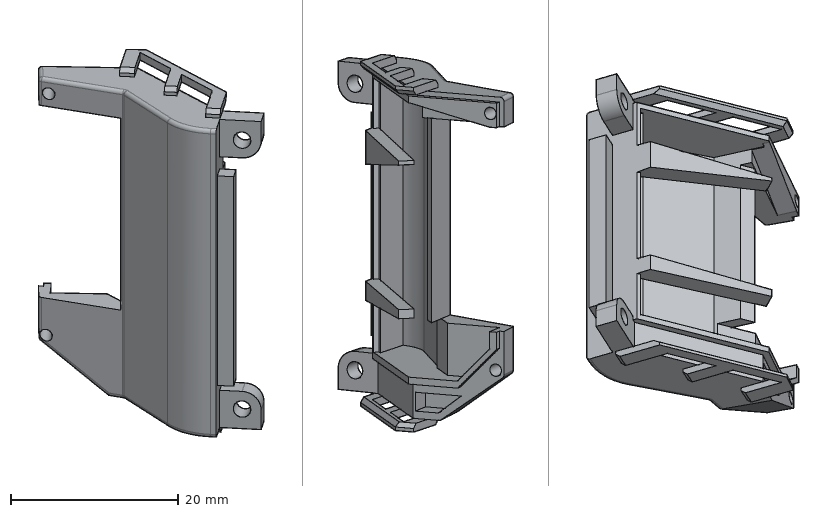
import cadquery as cq
import math

HALF_HEIGHT = 20.0
FRAME_THICKNESS = 1.0

END_ANGLE = 20.0
WING_BACK_ANGLE = 25.0
LONG_BACK_ANGLE = -26.2
FRONT_ANGLE = -31.2

WING_TIP = (-15.775, 0.0)
WING_TIP_FRONT = (-14.1, -3.06)
INNER_CORNER = (-3.2, -2.1)
BACK_EDGE_LENGTH = 11.9
FRONT_LOW_Y = -8.4
NOSE_RADIUS = 7.1
END_WALL = 8.85

EDGE_FILLET = 0.5
TIP_CORNER_FILLET = 0.45
CONCAVE_FILLET = 0.3

GAP_BOTTOM, GAP_TOP = -8.5, 16.4
GAP_WALL_FOOT = (-3.58, -2.1)
TIP_CUT_START = -14.05
TIP_CUT_RUN = 8.35

WALL = 1.2
CAVITY_BOTTOM, CAVITY_TOP = -14.85, 18.55
GAP_RECESS_DEPTH = 1.57
WING_RECESS_DEPTH = 2.1
WALL_CORNER_DEPTH = 2.3
LOWER_VERTEX_DEPTH = 4.1

LIP_TOP = 19.4
LIP_BOTTOM = -15.7
WING_LIP_HEIGHT = 0.85
LONG_LIP_HEIGHT = 0.7
LIP_END = 0.6
RIM_WIDTH = 1.5

PIN_DIAMETER = 1.5
UPPER_PIN = (-12.85, -2.95, 18.1)
LOWER_PIN = (-13.2, -2.95, -13.3)

EAR_REACH = 13.85
EAR_BACK, EAR_FRONT = -5.39, -8.07
EAR_HOLE_DIAMETER = 2.1
EAR_HOLE_Z = 17.45
EAR_RADIUS = 2.3

STRIP_REACH = 10.82
STRIP_FRONT = -10.28
STRIP_HALF_HEIGHT = 13.6

ARM_SPANS = ((-4.8, -3.0), (1.28, 2.8), (7.1, 8.85))
ARM_ENDS = (3.6, -1.5, -7.67)
FRAME_PEAK = (-2.4, 9.8)
FRAME_RIM_WIDTH = 1.1
FRAME_BEVEL = 0.55

TONGUE_START = -0.45
TONGUE_REACH = 1.9
UPPER_TONGUE = (11.0, 11.5, 7.9, 12.5)
LOWER_TONGUE = (-7.7, -6.6, -8.4, -5.9)

RIM_SLOPE_TOP = -10.6
WINDOW_TOP, WINDOW_BOTTOM = -16.8, -19.1
WINDOW_LEFT_TOP, WINDOW_LEFT_BOTTOM = 5.6, 8.6
WINDOW_RIGHT = 11.6
WINDOW_DEPTH = 3.0
PIN_LENGTH = 8.0
FAR = 30.0


def unit(angle):
    return math.cos(math.radians(angle)), math.sin(math.radians(angle))


def along(point, angle, distance):
    ux, uy = unit(angle)
    return point[0] + ux * distance, point[1] + uy * distance


def cross_point(p, p_angle, q, q_angle):
    """Crossing point of two plan lines, each given by a point and a direction."""
    px, py = unit(p_angle)
    qx, qy = unit(q_angle)
    distance = ((q[0] - p[0]) * qy - (q[1] - p[1]) * qx) / (px * qy - py * qx)
    return along(p, p_angle, distance)


END_WALL_POINT = along((0, 0), END_ANGLE, END_WALL)
BACK_VERTEX = along(WING_TIP, WING_BACK_ANGLE, BACK_EDGE_LENGTH)
END_BACK = cross_point(BACK_VERTEX, LONG_BACK_ANGLE, END_WALL_POINT, END_ANGLE + 90)
TIP_ANGLE = math.degrees(math.atan2(WING_TIP_FRONT[1] - WING_TIP[1], WING_TIP_FRONT[0] - WING_TIP[0]))
LONG_EDGE_LENGTH = math.dist(BACK_VERTEX, END_BACK)

NOSE_CENTER = cross_point(
    along(INNER_CORNER, FRONT_ANGLE + 90, NOSE_RADIUS), FRONT_ANGLE,
    (0, FRONT_LOW_Y + NOSE_RADIUS), 0,
)
NOSE_START = along(NOSE_CENTER, FRONT_ANGLE - 90, NOSE_RADIUS)
NOSE_LOW = along(NOSE_CENTER, -90, NOSE_RADIUS)
NOSE_END = along(NOSE_CENTER, END_ANGLE - 90, NOSE_RADIUS)
END_FRONT = cross_point(NOSE_END, END_ANGLE, END_WALL_POINT, END_ANGLE + 90)


def end_frame(z):
    """Workplane whose x axis is the end wall normal."""
    return cq.Workplane(cq.Plane((0, 0, z), xDir=(*unit(END_ANGLE), 0), normal=(0, 0, 1)))


def back_plane(origin, angle):
    """Workplane on a back face: x along the edge, y up, positive extrusion into the part."""
    return cq.Workplane(cq.Plane((*origin, 0), xDir=(*unit(angle), 0), normal=(*unit(angle - 90), 0)))


def wing_back():
    return back_plane(WING_TIP, WING_BACK_ANGLE)


def long_back():
    return back_plane(BACK_VERTEX, LONG_BACK_ANGLE)


def near(point, edge):
    center = edge.Center()
    return math.dist(point, (center.x, center.y)) < EDGE_FILLET


def on_outside_front(edge):
    """True for edges clear of the back edges and of the end wall."""
    center = edge.Center()
    for origin, angle in ((WING_TIP, WING_BACK_ANGLE), (BACK_VERTEX, LONG_BACK_ANGLE),
                          (END_WALL_POINT, END_ANGLE - 90)):
        nx, ny = unit(angle - 90)
        depth = (center.x - origin[0]) * nx + (center.y - origin[1]) * ny
        if depth < EDGE_FILLET / 2:
            return False
    return True


def is_rim(edge):
    """True for the edges around the top, the bottom and the sloped underside of the wing."""
    return edge.BoundingBox().zlen < HALF_HEIGHT / 2 and not is_crease(edge)


def is_crease(edge):
    """True for the edge where the sloped underside meets the flat bottom, parallel to the tip."""
    start, end = edge.startPoint(), edge.endPoint()
    tip_x, tip_y = unit(TIP_ANGLE)
    parallel = abs((end.x - start.x) * tip_y - (end.y - start.y) * tip_x) < EDGE_FILLET
    return parallel and edge.Length() > EDGE_FILLET and edge.Center().z < -HALF_HEIGHT + EDGE_FILLET


def round_edges(body, edges, radius):
    return cq.Workplane(body.val().fillet(radius, edges))


def outer_prism():
    return (
        cq.Workplane("XY", origin=(0, 0, -HALF_HEIGHT))
        .moveTo(*WING_TIP)
        .lineTo(*WING_TIP_FRONT)
        .lineTo(*INNER_CORNER)
        .lineTo(*NOSE_START)
        .threePointArc(NOSE_LOW, NOSE_END)
        .lineTo(*END_FRONT)
        .lineTo(*END_BACK)
        .lineTo(*BACK_VERTEX)
        .close()
        .extrude(2 * HALF_HEIGHT)
    )


def tip_cutter():
    """Wedge that slopes the underside of the lower wing up towards its tip."""
    square = unit(TIP_ANGLE + 90)
    run = TIP_CUT_RUN
    rise = TIP_CUT_START + HALF_HEIGHT
    plane = cq.Plane((*WING_TIP, TIP_CUT_START), xDir=(*square, 0), normal=(*unit(TIP_ANGLE), 0))
    return (
        cq.Workplane(plane)
        .polyline([(-run, rise), (2 * run, -2 * rise), (-run, -2 * rise)])
        .close()
        .extrude(FAR, both=True)
    )


def rounded_body():
    body = outer_prism()
    for corner, radius in ((WING_TIP_FRONT, TIP_CORNER_FILLET), (INNER_CORNER, CONCAVE_FILLET)):
        uprights = [e for e in body.edges("|Z").vals() if near(corner, e)]
        body = round_edges(body, uprights, radius)
    body = body.cut(tip_cutter())
    front_edges = [e for e in body.edges().vals() if on_outside_front(e) and is_rim(e)]
    return round_edges(body, front_edges, EDGE_FILLET)


def gap_cutter():
    """Opening between the two wings, outside the wall that closes the hollow."""
    wall_dir = WING_BACK_ANGLE + 90
    start = along(GAP_WALL_FOOT, wall_dir, -FAR)
    end = along(GAP_WALL_FOOT, wall_dir, FAR)
    corners = [start, end, along(end, wall_dir + 90, FAR), along(start, wall_dir + 90, FAR)]
    return (
        cq.Workplane("XY", origin=(0, 0, GAP_BOTTOM))
        .polyline(corners).close().extrude(GAP_TOP - GAP_BOTTOM)
    )


def cavity_cutter():
    """Hollow behind the front face, open along the long back edge."""
    wall_dir = WING_BACK_ANGLE + 90
    inner_wall = along(GAP_WALL_FOOT, WING_BACK_ANGLE, WALL)
    front = along(INNER_CORNER, FRONT_ANGLE + 90, WALL)
    end_wall = along(END_WALL_POINT, END_ANGLE, -WALL)
    radius = NOSE_RADIUS - WALL
    corners = [
        cross_point(inner_wall, wall_dir, BACK_VERTEX, LONG_BACK_ANGLE),
        cross_point(inner_wall, wall_dir, front, FRONT_ANGLE),
        along(NOSE_CENTER, FRONT_ANGLE - 90, radius),
    ]
    nose_low = along(NOSE_CENTER, -90, radius)
    nose_end = cross_point(along(NOSE_CENTER, END_ANGLE - 90, radius), END_ANGLE, end_wall, END_ANGLE + 90)
    end_back = cross_point(end_wall, END_ANGLE + 90, BACK_VERTEX, LONG_BACK_ANGLE)
    return (
        cq.Workplane("XY", origin=(0, 0, CAVITY_BOTTOM))
        .polyline(corners)
        .threePointArc(nose_low, nose_end)
        .lineTo(*end_back)
        .close()
        .extrude(CAVITY_TOP - CAVITY_BOTTOM)
    )


def wing_recess_cutters():
    """Steps in the back of the wing, leaving a rim at the tip and along the outer ends."""
    slope_end = RIM_WIDTH + RIM_SLOPE_TOP - CAVITY_BOTTOM
    lower = [(RIM_WIDTH, GAP_BOTTOM), (RIM_WIDTH, RIM_SLOPE_TOP), (slope_end, CAVITY_BOTTOM),
             (BACK_EDGE_LENGTH, CAVITY_BOTTOM), (BACK_EDGE_LENGTH, GAP_BOTTOM)]
    upper = [(RIM_WIDTH, GAP_BOTTOM), (RIM_WIDTH, GAP_TOP), (BACK_EDGE_LENGTH, CAVITY_TOP),
             (BACK_EDGE_LENGTH, GAP_BOTTOM)]
    return (
        wing_back().polyline(lower).close().extrude(WING_RECESS_DEPTH),
        wing_back().polyline(upper).close().extrude(GAP_RECESS_DEPTH),
    )


def vertex_recess_cutter(bottom, top, depth):
    """Step parallel to the long back edge, beside the back vertex and up to the hollow."""
    hollow_side = cross_point(GAP_WALL_FOOT, WING_BACK_ANGLE + 90, BACK_VERTEX, LONG_BACK_ANGLE)
    reach = math.dist(hollow_side, BACK_VERTEX) + 2 * WALL
    outline = [(-FAR, bottom), (reach, bottom), (reach, top), (-FAR, top)]
    step = long_back().polyline(outline).close().extrude(depth)
    tip_rim = wing_back().center(RIM_WIDTH, 0).rect(2 * RIM_WIDTH, FAR).extrude(depth)
    return step.cut(tip_rim)


def window_cutter():
    """Slanted window in the back face of the lower wing."""
    corners = [(WINDOW_LEFT_TOP, WINDOW_TOP), (WINDOW_LEFT_BOTTOM, WINDOW_BOTTOM),
               (WINDOW_RIGHT, WINDOW_BOTTOM), (WINDOW_RIGHT, WINDOW_TOP)]
    return wing_back().polyline(corners).close().extrude(WINDOW_DEPTH)


def wing_lips():
    slope_end = RIM_WIDTH + RIM_SLOPE_TOP - CAVITY_BOTTOM
    lower = [(LIP_END, GAP_BOTTOM), (RIM_WIDTH, GAP_BOTTOM), (RIM_WIDTH, RIM_SLOPE_TOP),
             (slope_end, CAVITY_BOTTOM), (BACK_EDGE_LENGTH, CAVITY_BOTTOM),
             (BACK_EDGE_LENGTH, LIP_BOTTOM), (LIP_END + RIM_SLOPE_TOP - LIP_BOTTOM, LIP_BOTTOM),
             (LIP_END, RIM_SLOPE_TOP)]
    upper = [(LIP_END, GAP_TOP), (LIP_END, LIP_TOP), (BACK_EDGE_LENGTH, LIP_TOP),
             (BACK_EDGE_LENGTH, CAVITY_TOP), (RIM_WIDTH, GAP_TOP)]
    return [wing_back().polyline(outline).close().extrude(-WING_LIP_HEIGHT) for outline in (lower, upper)]


def long_lip():
    """Rim around the opening of the hollow: top, bottom and end wall."""
    opening_end = LONG_EDGE_LENGTH - WALL
    outline = [(0, LIP_TOP), (LONG_EDGE_LENGTH, LIP_TOP), (LONG_EDGE_LENGTH, LIP_BOTTOM), (0, LIP_BOTTOM),
               (0, CAVITY_BOTTOM), (opening_end, CAVITY_BOTTOM), (opening_end, CAVITY_TOP), (0, CAVITY_TOP)]
    return long_back().polyline(outline).close().extrude(-LONG_LIP_HEIGHT)


def lip_corner():
    """Fills the wedge between the wing lip and the long lip at the back vertex."""
    wing_outer = along(BACK_VERTEX, WING_BACK_ANGLE + 90, WING_LIP_HEIGHT)
    long_outer = along(BACK_VERTEX, LONG_BACK_ANGLE + 90, LONG_LIP_HEIGHT)
    peak = cross_point(wing_outer, WING_BACK_ANGLE, long_outer, LONG_BACK_ANGLE)
    outline = cq.Workplane("XY").polyline([BACK_VERTEX, long_outer, peak, wing_outer]).close()
    wedge = outline.extrude(LIP_TOP - CAVITY_TOP)
    return wedge.translate((0, 0, CAVITY_TOP)).union(wedge.translate((0, 0, LIP_BOTTOM)))


def tongue(tip_low, tip_high, root_low, root_high):
    """Tapered tongue along the back opening, rooted on the end wall."""
    outline = [(TONGUE_START, tip_low), (LONG_EDGE_LENGTH, root_low),
               (LONG_EDGE_LENGTH, root_high), (TONGUE_START, tip_high)]
    return (
        long_back().workplane(offset=-TONGUE_REACH)
        .polyline(outline).close().extrude(TONGUE_REACH)
    )


def end_trim():
    """Everything beyond the end wall."""
    return end_frame(0).center(END_WALL + FAR / 2, 0).box(FAR, 2 * FAR, 2 * FAR)


def ear():
    height = HALF_HEIGHT - EAR_HOLE_Z + EAR_RADIUS
    middle = HALF_HEIGHT - height / 2
    length = EAR_REACH - END_WALL + WALL
    block = (
        end_frame(middle)
        .center(EAR_REACH - length / 2, (EAR_BACK + EAR_FRONT) / 2)
        .box(length, EAR_BACK - EAR_FRONT, height)
    )
    outward = cq.Vector(*unit(END_ANGLE))
    outer_corner = max(block.edges("<Z").vals(), key=lambda edge: edge.Center().dot(outward))
    block = round_edges(block, [outer_corner], EAR_RADIUS)
    hole_center = along((0, 0), END_ANGLE, EAR_REACH - EAR_RADIUS)
    hole_start = along(hole_center, END_ANGLE + 90, EAR_FRONT)
    hole_plane = cq.Plane(
        (*hole_start, EAR_HOLE_Z), xDir=(*unit(END_ANGLE), 0), normal=(*unit(END_ANGLE + 90), 0)
    )
    hole = cq.Workplane(hole_plane).circle(EAR_HOLE_DIAMETER / 2).extrude(EAR_BACK - EAR_FRONT)
    return block.cut(hole)


def end_strip():
    length = STRIP_REACH - END_WALL + WALL
    return (
        end_frame(0)
        .center(STRIP_REACH - length / 2, (EAR_FRONT + STRIP_FRONT) / 2)
        .box(length, EAR_FRONT - STRIP_FRONT, 2 * STRIP_HALF_HEIGHT)
    )


def pin_hole(entry):
    """Pin hole square to the back face of the wing."""
    axis = unit(WING_BACK_ANGLE + 90)
    plane = cq.Plane(entry, xDir=(*unit(WING_BACK_ANGLE), 0), normal=(*axis, 0))
    return cq.Workplane(plane).circle(PIN_DIAMETER / 2).extrude(PIN_LENGTH, both=True)


def guide_frame():
    """Three arms joined by a rim, bevelled under the rim and above the arm ends."""
    peak_across, peak_height = FRAME_PEAK
    rim_slope = math.tan(math.radians(LONG_BACK_ANGLE - END_ANGLE))
    peak_slope = math.tan(math.radians(WING_BACK_ANGLE - END_ANGLE))
    rim_drop = FRAME_RIM_WIDTH * math.hypot(1, rim_slope)

    def rim_height(across):
        slope = peak_slope if across < peak_across else rim_slope
        return peak_height + slope * (across - peak_across)

    frame = cq.Workplane("XY")
    for (left, right), end in zip(ARM_SPANS, ARM_ENDS):
        arm = [(left, end), (right, end), (right, rim_height(right)), (left, rim_height(left))]
        frame = frame.union(cq.Workplane("XY").polyline(arm).close().extrude(FRAME_THICKNESS))
    start, stop = ARM_SPANS[0][1], ARM_SPANS[-1][1]
    inner_start = peak_height + rim_slope * (start - peak_across) - rim_drop
    inner_stop = rim_height(stop) - rim_drop
    rim = [(start, rim_height(start)), FRAME_PEAK, (stop, rim_height(stop)),
           (stop, inner_stop), (start, inner_start)]
    frame = frame.union(cq.Workplane("XY").polyline(rim).close().extrude(FRAME_THICKNESS)).clean()

    def is_rim_edge(edge):
        center = edge.Center()
        return abs(center.y - rim_height(center.x)) < FRAME_BEVEL / 2

    def is_arm_end(edge):
        return any(abs(edge.Center().y - end) < FRAME_BEVEL / 2 for end in ARM_ENDS)

    under = [e for e in frame.edges("<Z").vals() if is_rim_edge(e)]
    ends = [e for e in frame.edges(">Z").vals() if is_arm_end(e)]
    frame = cq.Workplane(frame.val().chamfer(FRAME_BEVEL, None, under + ends))
    return frame.rotate((0, 0, 0), (0, 0, 1), END_ANGLE).translate((0, 0, HALF_HEIGHT))


upper_frame = guide_frame()
upper_ear = ear()

body = rounded_body().cut(gap_cutter())
cutters = [*wing_recess_cutters(), cavity_cutter(), window_cutter()]
cutters.append(vertex_recess_cutter(GAP_BOTTOM, GAP_TOP, WALL_CORNER_DEPTH))
cutters.append(vertex_recess_cutter(CAVITY_BOTTOM, GAP_BOTTOM, LOWER_VERTEX_DEPTH))
for cutter in cutters:
    body = body.cut(cutter)
for lip in (*wing_lips(), long_lip(), lip_corner()):
    body = body.union(lip)
for heights in (UPPER_TONGUE, LOWER_TONGUE):
    body = body.union(tongue(*heights))
body = body.cut(end_trim()).union(end_strip())
for end_feature in (upper_frame, upper_ear):
    body = body.union(end_feature).union(end_feature.mirror("XY"))
for entry in (UPPER_PIN, LOWER_PIN):
    body = body.cut(pin_hole(entry))

result = body